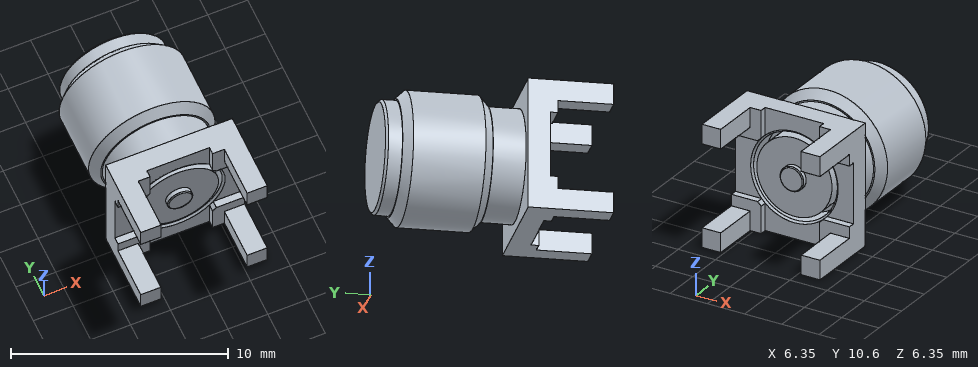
import cadquery as cq


base_width = 6.35
base_thickness = 1.04
pad_width = 1.61
pad_height = 0.36
leg_width = 1.02
leg_tip_y = -4.0

overall_length = 10.55
barrel_diameter = 5.35
barrel_chamfer = 0.12
barrel_end_y = overall_length + leg_tip_y
sleeve_diameter = 6.35
sleeve_chamfer = 0.425
sleeve_start_y = 1.55
sleeve_length = 4.23

clearance_diameter = 4.7
groove_diameter = 4.5
insulator_diameter = 4.04
groove_depth = 1.2

pin_diameter = 1.27
pin_chamfer = 0.05
pin_protrusion = 0.27

base_face_y = -base_thickness
pad_face_y = base_face_y - pad_height
groove_floor_y = base_face_y + groove_depth


def cylinder(diameter, start_y, end_y):
    """Cylinder on the connector axis, between two Y positions."""
    profile = cq.Workplane("XZ", origin=(0, start_y, 0)).circle(diameter / 2)
    return profile.extrude(start_y - end_y)


def square_bars(width, start_y, end_y):
    """Four square bars, one flush in each corner of the base."""
    spacing = base_width - width
    corners = cq.Workplane("XZ", origin=(0, start_y, 0)).rect(spacing, spacing, forConstruction=True)
    return corners.vertices().rect(width, width).extrude(start_y - end_y)


def make_base():
    plate = cq.Workplane("XZ").rect(base_width, base_width).extrude(base_thickness)
    pads = square_bars(pad_width, pad_face_y, 0)
    legs = square_bars(leg_width, leg_tip_y, 0)
    return plate.union(pads).union(legs)


def make_barrel():
    barrel = cylinder(barrel_diameter, 0, barrel_end_y).faces(">Y").chamfer(barrel_chamfer)
    sleeve = cylinder(sleeve_diameter, sleeve_start_y, sleeve_start_y + sleeve_length)
    return barrel.union(sleeve.faces("<Y or >Y").chamfer(sleeve_chamfer))


def make_groove_cutter():
    """Pad clearance, a 45 degree lead-in at the base face, then the straight bore."""
    clearance_radius = clearance_diameter / 2
    groove_radius = groove_diameter / 2
    lead_in_end_y = base_face_y + clearance_radius - groove_radius
    profile = (
        cq.Workplane("XY")
        .moveTo(0, pad_face_y)
        .lineTo(clearance_radius, pad_face_y)
        .lineTo(clearance_radius, base_face_y)
        .lineTo(groove_radius, lead_in_end_y)
        .lineTo(groove_radius, groove_floor_y)
        .lineTo(0, groove_floor_y)
        .close()
    )
    return profile.revolve(360, (0, 0, 0), (0, 1, 0))


def make_core():
    insulator = cylinder(insulator_diameter, base_face_y, barrel_end_y)
    pin = cylinder(pin_diameter, base_face_y - pin_protrusion, 0).faces("<Y").chamfer(pin_chamfer)
    return insulator.union(pin)


shell = make_base().union(make_barrel()).cut(make_groove_cutter())
result = shell.union(make_core())